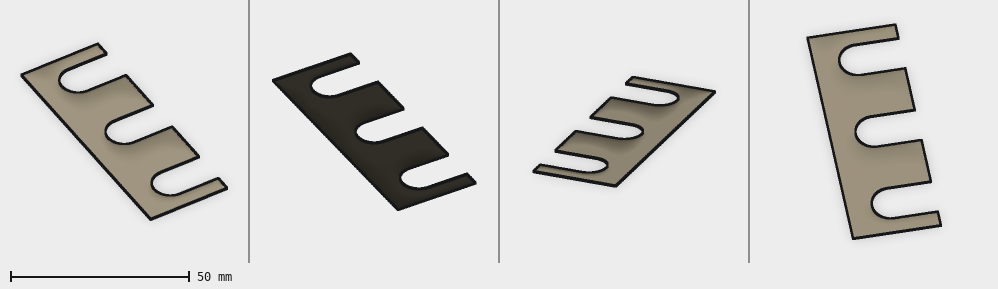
import cadquery as cq

length = 70.0
width = 25.0
thickness = 0.38

slot_width = 10.5
slot_pitch = 25.0
slot_count = 3
slot_radius = slot_width / 2
slot_center_y = 0.0


def slot_cutter(center_x):
    """Solid of one slot, running from its round end to the +Y edge."""
    left = center_x - slot_radius
    right = center_x + slot_radius
    return (
        cq.Workplane("XY")
        .moveTo(left, width / 2)
        .lineTo(left, slot_center_y)
        .threePointArc((center_x, slot_center_y - slot_radius), (right, slot_center_y))
        .lineTo(right, width / 2)
        .close()
        .extrude(thickness / 2, both=True)
    )


result = cq.Workplane("XY").box(length, width, thickness)
for index in range(slot_count):
    offset_from_middle = index - (slot_count - 1) / 2
    result = result.cut(slot_cutter(offset_from_middle * slot_pitch))